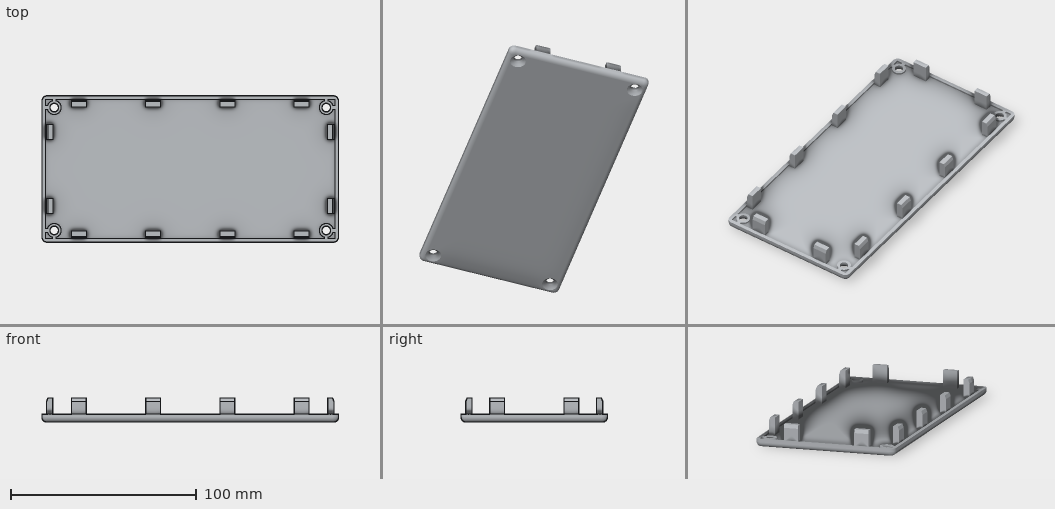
import cadquery as cq

LENGTH = 160.0
WIDTH = 79.0
OVERALL_HEIGHT = 13.0
PLATE_HEIGHT = 4.3
CORNER_RADIUS = 3.0
BOTTOM_FILLET = 2.6

RIM_WIDTH = 2.0
RECESS_DEPTH = 1.0
FLOOR_Z = PLATE_HEIGHT - RECESS_DEPTH

HOLE_INSET_X = 6.7
HOLE_INSET_Y = 6.4
HOLE_DIAMETER = 4.5
COUNTERSINK_DIAMETER = 8.5
COUNTERSINK_DEPTH = 2.0
BOSS_DIAMETER = 7.5
RIB_WIDTH = 2.0
HOLE_X = LENGTH / 2 - HOLE_INSET_X
HOLE_Y = WIDTH / 2 - HOLE_INSET_Y

TAB_LENGTH = 8.0
TAB_THICKNESS = 3.5
TAB_GAP = 0.5
TAB_CHAMFER_DEPTH = 0.75
TAB_CHAMFER_HEIGHT = 2.0
TAB_PITCH = 40.0
TABS_PER_LONG_SIDE = 4
TABS_PER_SHORT_SIDE = 2


def make_plate():
    """Rounded plate with a filleted lower edge and a recessed top."""
    plate = (
        cq.Workplane("XY")
        .rect(LENGTH, WIDTH)
        .extrude(PLATE_HEIGHT)
        .edges("|Z")
        .fillet(CORNER_RADIUS)
        .faces("<Z")
        .edges()
        .fillet(BOTTOM_FILLET)
    )
    recess = (
        cq.Workplane("XY", origin=(0, 0, FLOOR_Z))
        .rect(LENGTH - 2 * RIM_WIDTH, WIDTH - 2 * RIM_WIDTH)
        .extrude(RECESS_DEPTH)
    )
    return plate.cut(recess)


def make_boss(side_x, side_y):
    """Corner boss, with ribs running outward from its centre to the rim."""
    x = side_x * HOLE_X
    y = side_y * HOLE_Y
    length_x = HOLE_INSET_X - RIM_WIDTH / 2
    length_y = HOLE_INSET_Y - RIM_WIDTH / 2
    floor = cq.Workplane("XY", origin=(x, y, FLOOR_Z))
    boss = floor.circle(BOSS_DIAMETER / 2).extrude(RECESS_DEPTH)
    rib_x = floor.center(side_x * length_x / 2, 0).rect(length_x, RIB_WIDTH).extrude(RECESS_DEPTH)
    rib_y = floor.center(0, side_y * length_y / 2).rect(RIB_WIDTH, length_y).extrude(RECESS_DEPTH)
    return boss.union(rib_x).union(rib_y)


def make_tab(plate_size, along, turn):
    """Tab on the +X side of a plate of the given size, then turned about Z."""
    outer = plate_size / 2 - RIM_WIDTH - TAB_GAP
    inner = outer - TAB_THICKNESS
    return (
        cq.Workplane("XZ", origin=(0, along + TAB_LENGTH / 2, 0))
        .moveTo(inner, FLOOR_Z)
        .lineTo(outer, FLOOR_Z)
        .lineTo(outer, OVERALL_HEIGHT - TAB_CHAMFER_HEIGHT)
        .lineTo(outer - TAB_CHAMFER_DEPTH, OVERALL_HEIGHT)
        .lineTo(inner, OVERALL_HEIGHT)
        .close()
        .extrude(TAB_LENGTH)
        .rotate((0, 0, 0), (0, 0, 1), turn)
    )


def tab_positions(count):
    """Evenly pitched positions centred on the middle of a side."""
    return [(i - (count - 1) / 2) * TAB_PITCH for i in range(count)]


def make_screw_hole(side_x, side_y):
    """Cutter for a through hole countersunk from the underside."""
    profile = (
        cq.Workplane("XZ")
        .lineTo(COUNTERSINK_DIAMETER / 2, 0)
        .lineTo(HOLE_DIAMETER / 2, COUNTERSINK_DEPTH)
        .lineTo(HOLE_DIAMETER / 2, PLATE_HEIGHT)
        .lineTo(0, PLATE_HEIGHT)
        .close()
    )
    cutter = profile.revolve(360, (0, 0, 0), (0, 1, 0))
    return cutter.translate((side_x * HOLE_X, side_y * HOLE_Y, 0))


result = make_plate()

for side_x in (-1, 1):
    for side_y in (-1, 1):
        result = result.union(make_boss(side_x, side_y))
        result = result.cut(make_screw_hole(side_x, side_y))

for turn in (0, 180):
    for along in tab_positions(TABS_PER_SHORT_SIDE):
        result = result.union(make_tab(LENGTH, along, turn))
    for along in tab_positions(TABS_PER_LONG_SIDE):
        result = result.union(make_tab(WIDTH, along, turn + 90))